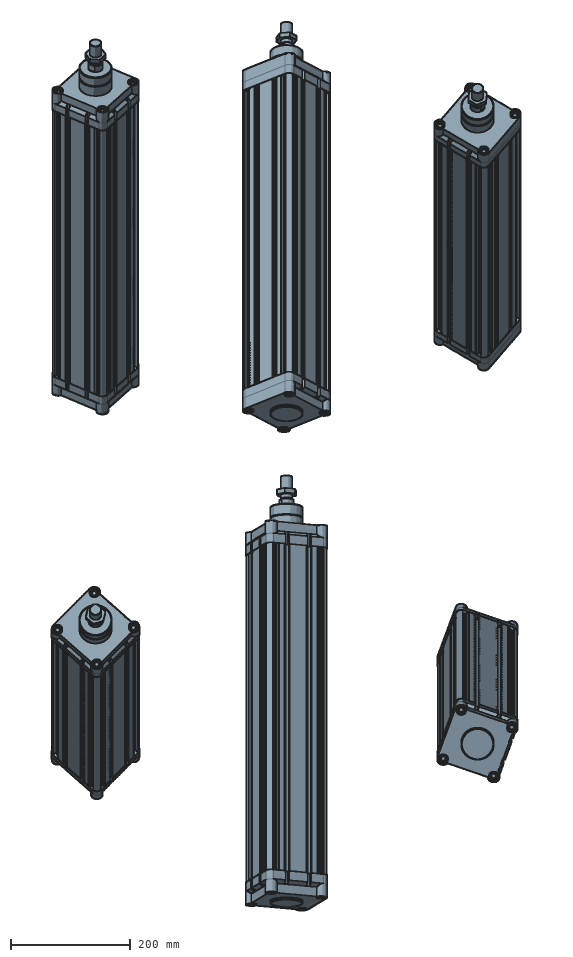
import cadquery as cq
import math

overall_length = 733.0
boss_height = 4.0
head_length = 638.0
cap_length = 38.0
cap_flange_height = 16.0
cap_slope_height = 6.0
cap_bottom = boss_height
cap_top = cap_bottom + head_length
mid_height = (cap_bottom + cap_top) / 2
barrel_bottom = cap_bottom + cap_length
barrel_length = head_length - 2 * cap_length

width = 110.0
half_width = width / 2
post_radius = 10.0
post_offset = half_width - post_radius
waist_half = 49.0
barrel_inset = 0.5
barrel_half = half_width - barrel_inset

slot_offset = 20.0
slot_width = 6.0
slot_depth = 5.5
slot_lip = 2.0
slot_inner_width = 10.0

corner_groove_steps = [(34.5, 38.0, 2.0), (38.0, 40.0, 4.0), (40.0, 42.5, 5.0), (42.5, 45.5, 6.5)]

screw_recess_steps = [(16.0, 1.5), (12.0, 3.0), (8.0, 4.5)]

collar_diameter = 55.0
collar_height = 39.0
collar_top = cap_top + collar_height
collar_chamfer = 1.5
collar_groove_diameter = 53.0
collar_groove_width = 1.5
collar_groove_height = 19.0

rod_diameter = 25.0
rod_across_flats = 22.0
rod_shoulder = overall_length - 40.0
rod_bottom = cap_top - cap_length
thread_diameter = 20.0
relief_diameter = 18.0
relief_height = 2.0
thread_chamfer = 1.0
nut_across_flats = 30.0
nut_corner_diameter = nut_across_flats / math.cos(math.pi / 6)
nut_height = 8.0
nut_chamfer = 1.0
nut_bottom = overall_length - 31.5

THREE_SIDES = (-1, 0, 1)
FOUR_SIDES = (-1, 0, 1, 2)


def at_height(z):
    return cq.Workplane("XY").workplane(offset=z)


def cylinder(diameter, bottom, top):
    return at_height(bottom).circle(diameter / 2).extrude(top - bottom)


def rounded_square(half, bottom, height):
    block = at_height(bottom).rect(2 * half, 2 * half).extrude(height)
    return block.edges("|Z").fillet(post_radius)


def posts_at(z):
    """Put the four post centres on a plane at height z."""
    return at_height(z).rect(2 * post_offset, 2 * post_offset, forConstruction=True).vertices()


def turned(body, turn):
    return body.rotate((0, 0, 0), (0, 0, 1), 90 * turn)


def cut_sides(body, cutter, quarter_turns):
    """Cut a -Y side cutter from the body at each of the given quarter turns."""
    for turn in quarter_turns:
        body = body.cut(turned(cutter, turn))
    return body


def side_groove(x, groove_width, surface, depth, bottom, height):
    """A groove along Z, reaching depth into the -Y side whose face lies at y = -surface."""
    return at_height(bottom).center(x, depth / 2 - surface).rect(groove_width, depth).extrude(height)


def make_barrel():
    barrel = rounded_square(barrel_half, barrel_bottom, barrel_length)
    for side in (-1, 1):
        for inner, outer, depth in corner_groove_steps:
            step = side_groove(
                side * (inner + outer) / 2, outer - inner, barrel_half, depth, barrel_bottom, barrel_length
            )
            barrel = cut_sides(barrel, step, FOUR_SIDES)
        lip = side_groove(
            side * slot_offset, slot_width, half_width, slot_depth, barrel_bottom, barrel_length
        )
        chamber_bottom = half_width - slot_lip
        chamber = side_groove(
            side * slot_offset, slot_inner_width, chamber_bottom, slot_depth, barrel_bottom, barrel_length
        )
        barrel = cut_sides(barrel, lip.union(chamber), FOUR_SIDES)
    return barrel


def cap_outline(z):
    """Outline of the cap above its flange: four round posts, a waist on three sides, +Y side flush."""
    waist_end = post_offset - math.sqrt(post_radius**2 - (waist_half - post_offset) ** 2)
    diagonal = post_radius / math.sqrt(2)
    outer = post_offset + diagonal
    inner = post_offset - diagonal
    return (
        at_height(z)
        .moveTo(-post_offset, half_width)
        .lineTo(post_offset, half_width)
        .threePointArc((outer, inner), (waist_half, waist_end))
        .lineTo(waist_half, -waist_end)
        .threePointArc((outer, -outer), (waist_end, -waist_half))
        .lineTo(-waist_end, -waist_half)
        .threePointArc((-outer, -outer), (-waist_half, -waist_end))
        .lineTo(-waist_half, waist_end)
        .threePointArc((-outer, inner), (-post_offset, half_width))
        .close()
    )


def make_front_cap():
    cap_joint = cap_top - cap_length
    flange_top = cap_joint + cap_flange_height
    slope_top = flange_top + cap_slope_height
    cap = rounded_square(half_width, cap_joint, cap_flange_height)
    cap = cap.union(cap_outline(flange_top).extrude(cap_top - flange_top))

    slope = (
        cq.Workplane("YZ").workplane(offset=-post_offset)
        .moveTo(-half_width, flange_top)
        .lineTo(-waist_half, slope_top)
        .lineTo(-waist_half, flange_top)
        .close()
        .extrude(2 * post_offset)
    )
    for turn in THREE_SIDES:
        cap = cap.union(turned(slope, turn))

    for side in (-1, 1):
        slot = side_groove(side * slot_offset, slot_width, half_width, slot_depth, cap_joint, cap_length)
        cap = cut_sides(cap, slot, THREE_SIDES)

    for diameter, depth in screw_recess_steps:
        cap = cap.cut(posts_at(cap_top).circle(diameter / 2).extrude(-depth))
    return cap


def make_collar():
    collar = cylinder(collar_diameter, cap_top, collar_top).faces(">Z").chamfer(collar_chamfer)
    groove_bottom = cap_top + collar_groove_height
    groove = (
        at_height(groove_bottom).circle(collar_diameter / 2).circle(collar_groove_diameter / 2)
        .extrude(collar_groove_width)
    )
    return collar.cut(groove)


def make_housing():
    front_cap = make_front_cap()
    rear_cap = front_cap.mirror("XY", (0, 0, mid_height))
    boss = cylinder(collar_diameter, 0, cap_bottom).faces("<Z").chamfer(collar_chamfer)
    housing = make_barrel().union(front_cap).union(rear_cap).union(make_collar()).union(boss)
    return housing.cut(cylinder(rod_diameter, rod_bottom, collar_top))


def make_rod():
    shank = cylinder(rod_diameter, rod_bottom, collar_top)
    flats = at_height(collar_top).rect(rod_diameter, rod_across_flats).extrude(rod_shoulder - collar_top)
    wrench_end = cylinder(rod_diameter, collar_top, rod_shoulder).intersect(flats)
    thread_bottom = rod_shoulder + relief_height
    relief = cylinder(relief_diameter, rod_shoulder, thread_bottom)
    thread = cylinder(thread_diameter, thread_bottom, overall_length).faces(">Z").chamfer(thread_chamfer)
    return shank.union(wrench_end).union(relief).union(thread)


def make_nut():
    nut_top = nut_bottom + nut_height
    hexagon = at_height(nut_bottom).transformed(rotate=(0, 0, 30)).polygon(6, nut_corner_diameter)
    rounding = cylinder(nut_corner_diameter, nut_bottom, nut_top).faces("<Z or >Z").chamfer(nut_chamfer)
    nut = hexagon.extrude(nut_height).intersect(rounding)
    return nut.cut(cylinder(thread_diameter, nut_bottom, nut_top))


housing = make_housing()
rod = make_rod()
nut = make_nut()
result = cq.Compound.makeCompound([housing.val(), rod.val(), nut.val()])